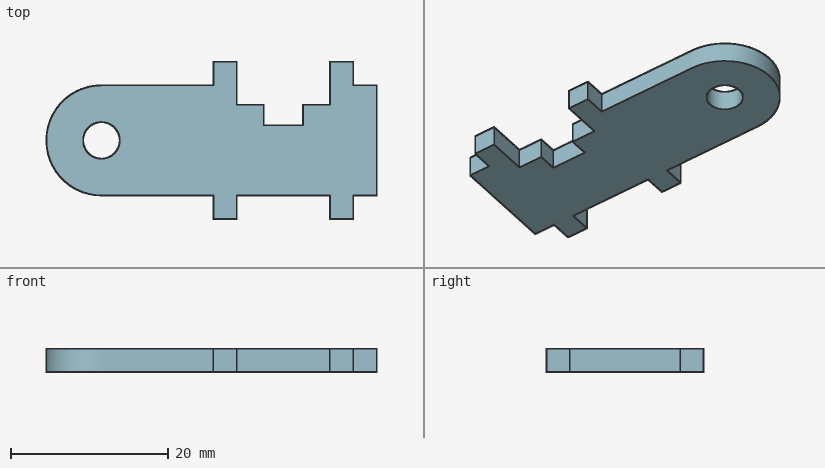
import cadquery as cq

length = 42.0
thickness = 3.0
overall_width = 20.0
tab_size = 3.0
body_width = overall_width - 2 * tab_size
end_radius = body_width / 2
hole_diameter = 4.6

tab_gap = 11.8
rear_tab_end = length - tab_size
rear_tab_start = rear_tab_end - tab_size
front_tab_end = rear_tab_start - tab_gap
front_tab_start = front_tab_end - tab_size

notch_step_depth = 2.48
notch_full_depth = 5.1
notch_inner_width = 4.95
notch_center = (front_tab_end + rear_tab_start) / 2


def block(x_center, x_size, y_low, y_high):
    """Full-thickness box spanning the given Y range."""
    return (
        cq.Workplane("XY")
        .center(x_center, (y_low + y_high) / 2)
        .rect(x_size, y_high - y_low)
        .extrude(thickness)
    )


straight_length = length - end_radius
body = block(end_radius + straight_length / 2, straight_length, -end_radius, end_radius)
rounded_end = cq.Workplane("XY").center(end_radius, 0).circle(end_radius).extrude(thickness)
body = body.union(rounded_end)

for tab_start in (front_tab_start, rear_tab_start):
    tab_center = tab_start + tab_size / 2
    body = body.union(block(tab_center, tab_size, -overall_width / 2, overall_width / 2))

for notch_width, notch_depth in (
    (tab_gap, notch_step_depth),
    (notch_inner_width, notch_full_depth),
):
    body = body.cut(block(notch_center, notch_width, end_radius - notch_depth, end_radius))

hole = cq.Workplane("XY").center(end_radius, 0).circle(hole_diameter / 2).extrude(thickness)

result = body.cut(hole)